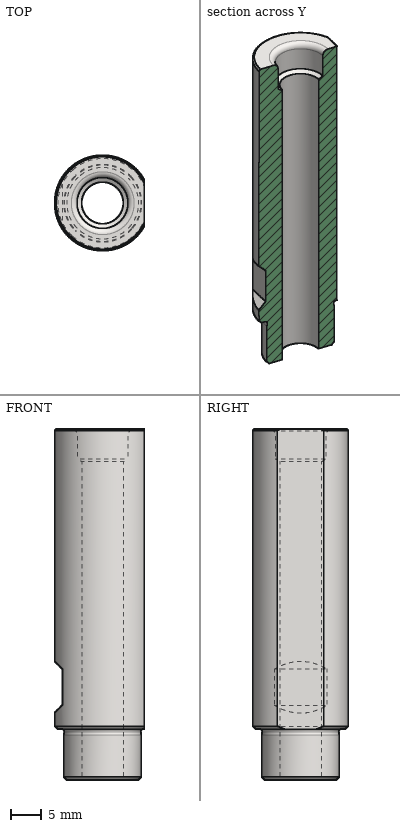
import cadquery as cq

length = 58.5
body_diameter = 15.95
spigot_diameter = 13.0
spigot_length = 8.5
edge_chamfer = 0.5
top_chamfer = 0.3

relief_depth = 0.1
relief_taper = 0.5
relief_fillet = 0.4

overall_width = 15.0

hole_diameter = 6.9
bore_diameter = 8.5
bore_depth = 5.0
bore_cone_height = 0.45
mouth_radius = 1.0

notch_depth = 1.3
notch_height = 6.0
notch_center_z = 15.5

body_radius = body_diameter / 2
spigot_radius = spigot_diameter / 2
hole_radius = hole_diameter / 2
bore_radius = bore_diameter / 2


def make_body():
    """Revolve the outer profile: chamfered spigot, relief groove and body."""
    relief_radius = spigot_radius - relief_depth
    relief_bottom = spigot_length - relief_fillet
    return (
        cq.Workplane("XZ")
        .moveTo(0, 0)
        .lineTo(spigot_radius - edge_chamfer, 0)
        .lineTo(spigot_radius, edge_chamfer)
        .lineTo(spigot_radius, relief_bottom - relief_taper)
        .lineTo(relief_radius, relief_bottom)
        .radiusArc((relief_radius + relief_fillet, spigot_length), relief_fillet)
        .lineTo(body_radius - edge_chamfer, spigot_length)
        .lineTo(body_radius, spigot_length + edge_chamfer)
        .lineTo(body_radius, length - top_chamfer)
        .lineTo(body_radius - top_chamfer, length)
        .lineTo(0, length)
        .close()
        .revolve(360, (0, 0, 0), (0, 1, 0))
    )


def make_bore():
    """Through hole widening through a cone to the top bore and its rounded mouth."""
    floor_z = length - bore_depth
    mouth_center = cq.Vector(bore_radius + mouth_radius, length - mouth_radius)
    arc_offset = mouth_radius * 0.5 ** 0.5
    return (
        cq.Workplane("XZ")
        .moveTo(0, 0)
        .lineTo(hole_radius, 0)
        .lineTo(hole_radius, floor_z - bore_cone_height)
        .lineTo(bore_radius, floor_z)
        .lineTo(bore_radius, mouth_center.y)
        .threePointArc(
            (mouth_center.x - arc_offset, mouth_center.y + arc_offset),
            (mouth_center.x, length),
        )
        .lineTo(0, length)
        .close()
        .revolve(360, (0, 0, 0), (0, 1, 0))
    )


def make_side_flat():
    """Material beyond the full-length flat on the +X side."""
    return (
        cq.Workplane("XY")
        .box(body_diameter, body_diameter, length, centered=(False, True, False))
        .translate((overall_width - body_radius, 0, 0))
    )


def make_notch():
    """Wrench notch whose upper and lower faces slope outward at 45 degrees."""
    half_height = notch_height / 2
    outer_half_height = half_height + notch_depth
    return (
        cq.Workplane("XZ")
        .moveTo(-body_radius + notch_depth, notch_center_z - half_height)
        .lineTo(-body_radius + notch_depth, notch_center_z + half_height)
        .lineTo(-body_radius, notch_center_z + outer_half_height)
        .lineTo(-body_radius, notch_center_z - outer_half_height)
        .close()
        .extrude(body_radius, both=True)
    )


result = make_body().cut(make_side_flat()).cut(make_notch()).cut(make_bore())